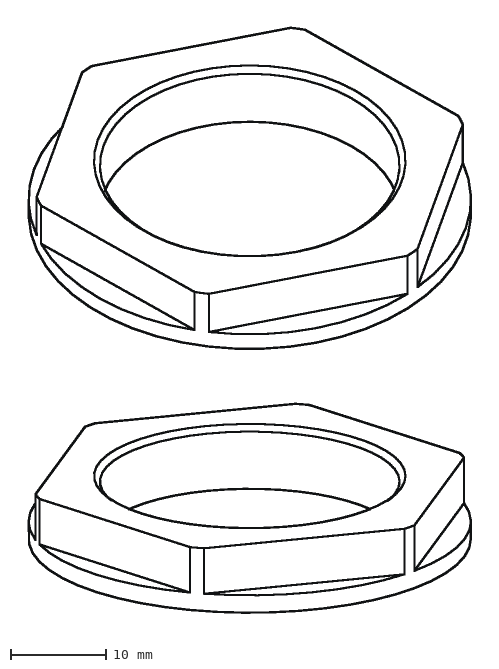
import cadquery as cq
import math

flange_diameter = 46.5
total_height = 7.0
flange_thickness = 1.95

across_flats = 41.0
across_corners = across_flats / math.cos(math.radians(30))

bore_diameter = 31.45
chamfer_diameter = 32.7
chamfer_depth = (chamfer_diameter - bore_diameter) / 2


def make_flange():
    return cq.Workplane("XY").circle(flange_diameter / 2).extrude(flange_thickness)


def make_hexagon():
    """Hexagonal prism with two flats facing +X and -X and rounded-off corners."""
    prism = (
        cq.Workplane("XY")
        .polygon(6, across_corners)
        .extrude(total_height)
        .rotate((0, 0, 0), (0, 0, 1), 30)
    )
    envelope = cq.Workplane("XY").circle(flange_diameter / 2).extrude(total_height)
    return prism.intersect(envelope)


def make_bore():
    """Revolved cutter for the bore and its top chamfer."""
    bore_radius = bore_diameter / 2
    mouth_radius = chamfer_diameter / 2
    return (
        cq.Workplane("XZ")
        .moveTo(0, 0)
        .lineTo(bore_radius, 0)
        .lineTo(bore_radius, total_height - chamfer_depth)
        .lineTo(mouth_radius, total_height)
        .lineTo(0, total_height)
        .close()
        .revolve(360, (0, 0, 0), (0, 1, 0))
    )


result = make_flange().union(make_hexagon()).cut(make_bore())